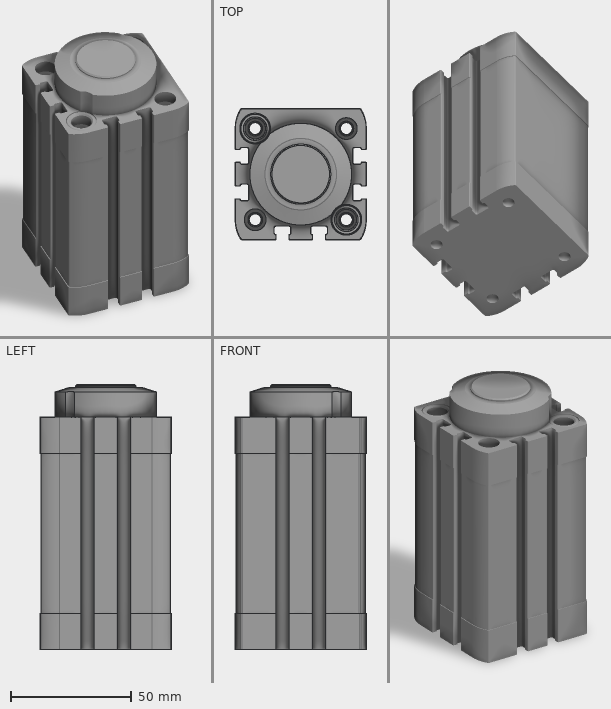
import cadquery as cq
import math

width = 54.5
total_height = 110.0

block_height = 96.5
cap_height = 15.0
tube_inset = 0.3

flank_half_length = 19.1
face_half_length = 24.8
edge_fillet = 0.7

slot_offset = 7.6
slot_depth = 5.6
slot_mouth_width = 5.3
slot_inner_width = 6.8
slot_lip = 2.1
slot_fillet = 0.7
mouth_fillet = 0.3

boss_diameter = 42.2
boss_edge_height = 106.9
boss_rim_diameter = 29.7
boss_rim_height = 108.9

rod_diameter = 25.0
rod_chamfer = 0.5
rod_bottom = cap_height

hole_spacing = 37.8
through_diameter = 5.0
countersink_diameter = 6.2
counterbore_depth = 5.2
plain_counterbore_diameter = 9.0
seated_counterbore_diameter = 8.6
seated_bevel_diameter = 9.8
seat_diameter = 12.8
seat_chamfer = 0.4

half_width = width / 2
half_spacing = hole_spacing / 2


def block_outline():
    """Square with two flat faces in Y and flanks in X that curve in at their ends."""
    corner_x = half_width - face_half_length
    corner_y = half_width - flank_half_length
    radius = (corner_x**2 + corner_y**2) / (2 * corner_x)
    middle_angle = math.asin(corner_y / radius) / 2
    middle_x = half_width - radius * (1 - math.cos(middle_angle))
    middle_y = flank_half_length + radius * math.sin(middle_angle)
    return (
        cq.Workplane("XY")
        .moveTo(-face_half_length, -half_width)
        .lineTo(face_half_length, -half_width)
        .threePointArc((middle_x, -middle_y), (half_width, -flank_half_length))
        .lineTo(half_width, flank_half_length)
        .threePointArc((middle_x, middle_y), (face_half_length, half_width))
        .lineTo(-face_half_length, half_width)
        .threePointArc((-middle_x, middle_y), (-half_width, flank_half_length))
        .lineTo(-half_width, -flank_half_length)
        .threePointArc((-middle_x, -middle_y), (-face_half_length, -half_width))
        .close()
    )


def slot_mouth(height, inset):
    """Slot opening at a face shrunk by the inset, flared by its rounded outer edges."""
    face_y = -half_width + inset
    narrow = slot_mouth_width / 2
    wide = narrow + mouth_fillet
    arc_x = wide - mouth_fillet * math.sqrt(0.5)
    arc_y = face_y + mouth_fillet * (1 - math.sqrt(0.5))
    inner_y = -half_width + slot_depth / 2
    return (
        cq.Workplane("XY")
        .moveTo(-wide, face_y)
        .threePointArc((-arc_x, arc_y), (-narrow, face_y + mouth_fillet))
        .lineTo(-narrow, inner_y)
        .lineTo(narrow, inner_y)
        .lineTo(narrow, face_y + mouth_fillet)
        .threePointArc((arc_x, arc_y), (wide, face_y))
        .close()
        .extrude(height)
    )


def sensor_slot(height, inset):
    """T-slot cutter that opens at the -Y face, centred on X = 0."""
    channel = (
        cq.Workplane("XY")
        .box(slot_inner_width, slot_depth - slot_lip, height, centered=(True, False, False))
        .edges("|Z")
        .fillet(slot_fillet)
        .translate((0, -half_width + slot_lip, 0))
    )
    return channel.union(slot_mouth(height, inset))


def block_section(bottom, top, inset):
    """Slotted length of the block with rounded corner edges, shrunk all round by the inset."""
    height = top - bottom
    outline = block_outline()
    if inset:
        outline = outline.offset2D(-inset)
    section = outline.extrude(height).edges("|Z and (>Y or <Y)").fillet(edge_fillet)
    for side_angle in (-90, 0, 90):
        for offset in (-slot_offset, slot_offset):
            slot = sensor_slot(height, inset).translate((offset, 0, 0))
            section = section.cut(slot.rotate((0, 0, 0), (0, 0, 1), side_angle))
    return section.translate((0, 0, bottom))


def make_boss():
    """Round boss with a conical top and a narrow flat rim around the rod."""
    return (
        cq.Workplane("XZ")
        .moveTo(0, block_height)
        .lineTo(boss_diameter / 2, block_height)
        .lineTo(boss_diameter / 2, boss_edge_height)
        .lineTo(boss_rim_diameter / 2, boss_rim_height)
        .lineTo(0, boss_rim_height)
        .close()
        .revolve(360, (0, 0), (0, 1))
    )


def cylinder(diameter, bottom, top):
    """Upright cylinder on the Z axis between two heights."""
    return cq.Workplane("XY").workplane(offset=bottom).circle(diameter / 2).extrude(top - bottom)


def countersink(top_diameter, bottom_diameter, top):
    """45-degree cone cutter between two diameters."""
    depth = (top_diameter - bottom_diameter) / 2
    return cq.Workplane(
        cq.Solid.makeCone(bottom_diameter / 2, top_diameter / 2, depth, cq.Vector(0, 0, top - depth))
    )


def plain_hole():
    """Through hole, countersunk below a plain counterbore."""
    floor = block_height - counterbore_depth
    return (
        cylinder(through_diameter, 0, block_height)
        .union(countersink(countersink_diameter, through_diameter, floor))
        .union(cylinder(plain_counterbore_diameter, floor, block_height))
    )


def seated_hole():
    """Through hole with a bevelled counterbore inside a bevelled ring that clears the boss."""
    floor = block_height - counterbore_depth
    ring = cylinder(seat_diameter, floor, block_height).faces(">Z").chamfer(seat_chamfer)
    return (
        cylinder(through_diameter, 0, block_height)
        .union(countersink(countersink_diameter, through_diameter, floor))
        .union(cylinder(seated_counterbore_diameter, floor, block_height))
        .union(countersink(seated_bevel_diameter, seated_counterbore_diameter, block_height))
        .union(cylinder(seat_diameter, floor, total_height).cut(ring))
    )


def make_housing():
    """Block and boss with the corner holes and the rod bore."""
    upper_cap_bottom = block_height - cap_height
    housing = (
        block_section(0, cap_height, 0)
        .union(block_section(cap_height, upper_cap_bottom, tube_inset))
        .union(block_section(upper_cap_bottom, block_height, 0))
        .union(make_boss())
    )
    for side in (-1, 1):
        housing = housing.cut(plain_hole().translate((side * half_spacing, side * half_spacing, 0)))
        housing = housing.cut(seated_hole().translate((side * half_spacing, -side * half_spacing, 0)))
    return housing.cut(cylinder(rod_diameter, rod_bottom, total_height))


def make_rod():
    """Round rod with a chamfered top edge, standing in the bore of the housing."""
    return cylinder(rod_diameter, rod_bottom, total_height).faces(">Z").chamfer(rod_chamfer)


housing = make_housing()
rod = make_rod()
result = cq.Compound.makeCompound([housing.val(), rod.val()])